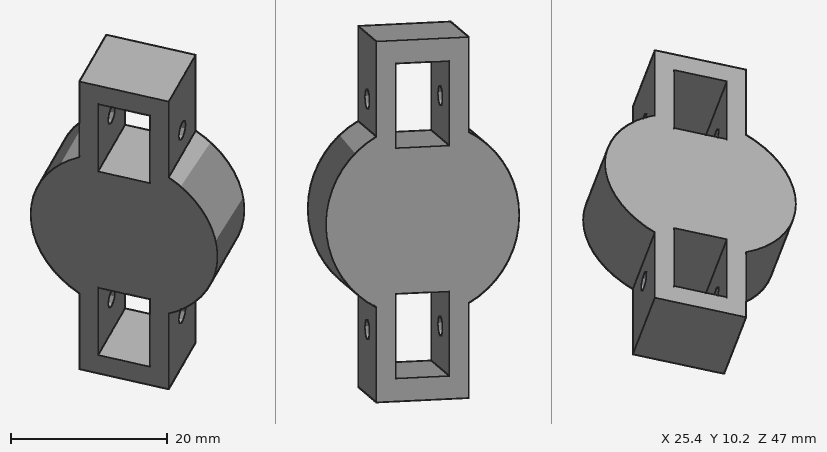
import cadquery as cq

length = 47.0
thickness = 10.15
disc_diameter = 25.35

arm_width = 12.13
window_width = 7.0
window_height = 11.0
end_wall = 3.0
pin_hole_diameter = 2.5

window_center = length / 2 - end_wall - window_height / 2


def make_body():
    """Flat disc with its axis along Y, joined to a vertical arm."""
    disc = cq.Workplane("XZ").circle(disc_diameter / 2).extrude(thickness / 2, both=True)
    arm = cq.Workplane("XY").box(arm_width, thickness, length)
    return disc.union(arm)


def make_end_cut(center_height):
    """Window through the thickness, crossed by a pin hole along X."""
    window = cq.Workplane("XY").box(window_width, thickness, window_height)
    pin_hole = (
        cq.Workplane("YZ")
        .circle(pin_hole_diameter / 2)
        .extrude(arm_width / 2, both=True)
    )
    return window.union(pin_hole).translate((0, 0, center_height))


result = make_body()
for side in (-1, 1):
    result = result.cut(make_end_cut(side * window_center))